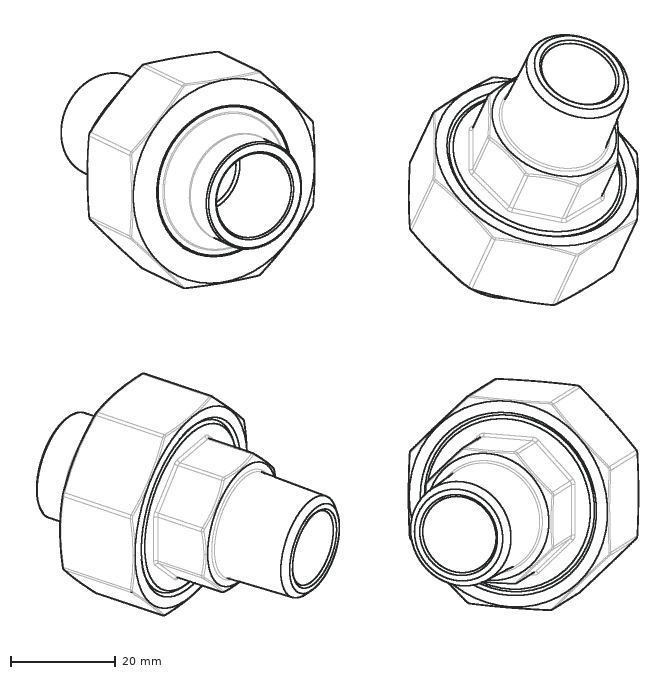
import cadquery as cq
import math


OCTAGON_SIDES = 8
CORNER_RADIUS = 1.0
CORNER_REACH = 1.2
LENGTH = 56.5

NUT_START = 27.95
NUT_LENGTH = 17.0
NUT_END = NUT_START + NUT_LENGTH
NUT_FLATS = 41.0
NUT_RIM_DIAMETER = 40.5
NUT_RIM_ANGLE = 22
NUT_RIM_FILLET = 0.35
NUT_MOUTH_DIAMETER = 36.0
THREAD_DIAMETER = 34.75
NUT_LIP_HOLE = 30.0
NUT_LIP_THICKNESS = 3.4
NUT_SHOULDER = NUT_END - NUT_LIP_THICKNESS

BORE_DIAMETER = 15.0
BORE_CHAMFER = 0.45
TIP_DIAMETER = 18.0
TIP_CHAMFER = 1.25
TAPER = 1 / 16
OCTAGON_START = 16.4
OCTAGON_FLATS = 26.05
OCTAGON_RIM_DIAMETER = 25.0
OCTAGON_RIM_ANGLE = 30
OCTAGON_RIM_FILLET = 0.45
NECK_FILLET = 0.4
BASE_FILLET = 0.55
COLLAR_FACE_DIAMETER = 33.5
COLLAR_LENGTH = 9.05
COLLAR_END = NUT_START + COLLAR_LENGTH

TAIL_BORE = 16.7
TAIL_DIAMETER = 21.3
TAIL_END_CHAMFER = 0.35
CONE_END = 50.0
CONE_ANGLE = 30
CONE_BLEND = 0.6
CONE_BASE_FILLET = 0.3
TAIL_NECK_DIAMETER = 29.5
FLANGE_DIAMETER = 33.85


def revolve_about_x(points):
    """Solid of revolution from (x, radius) points."""
    return cq.Workplane("XY").polyline(points).close().revolve(360, (0, 0, 0), (1, 0, 0))


def x_cylinder(diameter, start, end):
    return cq.Workplane("YZ", origin=(start, 0, 0)).circle(diameter / 2).extrude(end - start)


def edges_at(x, reach):
    """Selector for the edges in the plane at x that stay within reach of the axis."""
    margin = 0.05
    size = reach + margin
    return cq.selectors.BoxSelector((x - margin, -size, -size), (x + margin, size, size), boundingbox=True)


def octagon_prism(flats, start, end):
    """Octagon bar along X with flats facing Y and Z and rounded long edges."""
    half_flat = flats / 2
    corner_radius = half_flat / math.cos(math.pi / OCTAGON_SIDES)
    corners = [
        (corner_radius * math.cos(angle), corner_radius * math.sin(angle))
        for angle in [(2 * i + 1) * math.pi / OCTAGON_SIDES for i in range(OCTAGON_SIDES)]
    ]
    bar = cq.Workplane("YZ", origin=(start, 0, 0)).polyline(corners).close().extrude(end - start)
    return bar.edges("|X").fillet(CORNER_RADIUS)


def rim_envelope(flats, rim_diameter, rim_angle, start, end, both_ends):
    """Round blank with conical rims that trims the octagon corners."""
    rim_radius = rim_diameter / 2
    slope = math.tan(math.radians(rim_angle))
    blank_radius = flats / 2 * CORNER_REACH
    depth = (blank_radius - rim_radius) * slope
    points = [(start, 0), (start, rim_radius), (start + depth, blank_radius)]
    if both_ends:
        points += [(end - depth, blank_radius), (end, rim_radius), (end, 0)]
    else:
        points += [(end, blank_radius), (end, 0)]
    return revolve_about_x(points)


def chamfered_octagon(flats, rim_diameter, rim_angle, rim_fillet, start, end, both_ends):
    """Octagon bar with conical rim chamfers blended into its flats."""
    blank = octagon_prism(flats, start, end)
    blank = blank.intersect(rim_envelope(flats, rim_diameter, rim_angle, start, end, both_ends))
    rims = blank.faces("%CONE").edges("not %CIRCLE")
    return rims.fillet(rim_fillet)


def make_nut():
    """Octagonal nut with a threaded cavity and a lip that holds the tail flange."""
    nut = chamfered_octagon(
        NUT_FLATS, NUT_RIM_DIAMETER, NUT_RIM_ANGLE, NUT_RIM_FILLET,
        NUT_START, NUT_END, both_ends=True)
    mouth_depth = (NUT_MOUTH_DIAMETER - THREAD_DIAMETER) / 2
    cavity = revolve_about_x([
        (NUT_START, 0),
        (NUT_START, NUT_MOUTH_DIAMETER / 2),
        (NUT_START + mouth_depth, THREAD_DIAMETER / 2),
        (NUT_SHOULDER, THREAD_DIAMETER / 2),
        (NUT_SHOULDER, NUT_LIP_HOLE / 2),
        (NUT_END, NUT_LIP_HOLE / 2),
        (NUT_END, 0),
    ])
    return nut.cut(cavity)


def make_male_end():
    """Tapered pipe thread, wrench octagon and the collar that screws into the nut."""
    tip_radius = TIP_DIAMETER / 2
    taper_start_radius = tip_radius + TIP_CHAMFER
    taper_end_radius = taper_start_radius + (OCTAGON_START - TIP_CHAMFER) * TAPER / 2
    pipe = revolve_about_x([
        (0, 0),
        (0, tip_radius),
        (TIP_CHAMFER, taper_start_radius),
        (OCTAGON_START, taper_end_radius),
        (OCTAGON_START, 0),
    ])
    octagon = chamfered_octagon(
        OCTAGON_FLATS, OCTAGON_RIM_DIAMETER, OCTAGON_RIM_ANGLE, OCTAGON_RIM_FILLET,
        OCTAGON_START, NUT_START, both_ends=False)
    collar_chamfer = (THREAD_DIAMETER - COLLAR_FACE_DIAMETER) / 2
    collar = x_cylinder(THREAD_DIAMETER, NUT_START, COLLAR_END).faces("<X").chamfer(collar_chamfer)
    body = pipe.union(octagon).union(collar)

    neck = edges_at(OCTAGON_START, taper_end_radius)
    body = body.edges(neck).fillet(NECK_FILLET)
    octagon_base = edges_at(NUT_START, OCTAGON_FLATS / 2 * CORNER_REACH)
    body = body.edges(octagon_base).fillet(BASE_FILLET)
    body = body.cut(x_cylinder(BORE_DIAMETER, 0, COLLAR_END))
    bore_mouth = edges_at(0, BORE_DIAMETER / 2)
    return body.edges(bore_mouth).chamfer(BORE_CHAMFER)


def make_weld_tail():
    """Weld spigot with a cone and a flange held between the collar and the nut lip."""
    end_radius = TAIL_DIAMETER / 2
    base_radius = end_radius + (CONE_END - NUT_END) * math.tan(math.radians(CONE_ANGLE))
    tail = revolve_about_x([
        (COLLAR_END, TAIL_BORE / 2),
        (COLLAR_END, FLANGE_DIAMETER / 2),
        (NUT_SHOULDER, FLANGE_DIAMETER / 2),
        (NUT_SHOULDER, TAIL_NECK_DIAMETER / 2),
        (NUT_END, TAIL_NECK_DIAMETER / 2),
        (NUT_END, base_radius),
        (CONE_END, end_radius),
        (LENGTH, end_radius),
        (LENGTH, TAIL_BORE / 2),
    ])
    cone_base = edges_at(NUT_END, base_radius)
    tail = tail.edges(cone_base).fillet(CONE_BASE_FILLET)
    cone_tip = edges_at(CONE_END, end_radius)
    tail = tail.edges(cone_tip).fillet(CONE_BLEND)
    weld_rim = edges_at(LENGTH, end_radius)
    return tail.edges(weld_rim).chamfer(TAIL_END_CHAMFER)


nut = make_nut()
male_end = make_male_end()
weld_tail = make_weld_tail()

result = cq.Compound.makeCompound([male_end.solids().val(), nut.solids().val(), weld_tail.solids().val()])